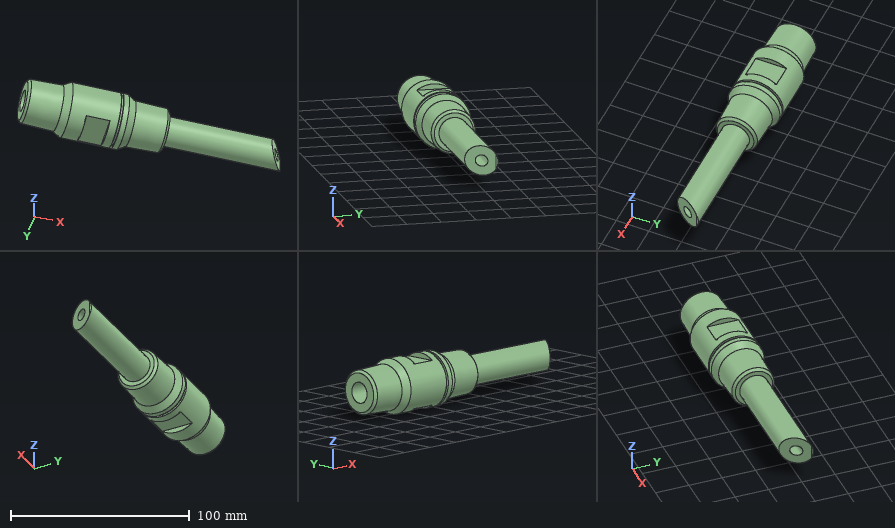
import cadquery as cq
import math

total_length = 151.5
body_length = 82.4
mid_x = body_length / 2

collar_diameter = 31.8
collar_length = 32.7
shoulder_length = 4.5
neck_root_radius = 13.3
neck_tip_radius = 12.7
end_chamfer = 1.5

groove_start = 53.0
groove_width = 1.4
groove_diameter = 29.0

flat_start = 34.4
flat_length = 13.6
across_flats = 25.6

socket_diameter = 12.0
socket_depth = mid_x
hose_diameter = 17.1
hose_bore_diameter = 6.4
hose_cut_angle = 30.0
hose_cut_center_x = 147.2


def make_body():
    """Collar with conical shoulders and tapered necks, revolved about X."""
    collar_half = collar_length / 2
    shoulder_half = collar_half + shoulder_length
    left_half = [
        (0, neck_tip_radius - end_chamfer),
        (end_chamfer, neck_tip_radius),
        (mid_x - shoulder_half, neck_root_radius),
        (mid_x - collar_half, collar_diameter / 2),
    ]
    right_half = [(body_length - x, radius) for x, radius in reversed(left_half)]
    outline = [(0, 0)] + left_half + right_half + [(body_length, 0)]
    return cq.Workplane("XY").polyline(outline).close().revolve(360, (0, 0, 0), (1, 0, 0))


def cylinder_along_x(diameter, start, end):
    return cq.Workplane("YZ", origin=(start, 0, 0)).circle(diameter / 2).extrude(end - start)


def make_groove():
    groove_end = groove_start + groove_width
    ring = cylinder_along_x(collar_diameter, groove_start, groove_end)
    return ring.cut(cylinder_along_x(groove_diameter, groove_start, groove_end))


def make_flat_cutter(side):
    """Block that removes material beyond one flat; side is +1 (top) or -1 (bottom)."""
    height = collar_diameter / 2
    center = (flat_start + flat_length / 2, 0, side * (across_flats + height) / 2)
    return cq.Workplane("XY").box(flat_length, collar_diameter, height).translate(center)


def make_hose():
    """Hose with an oblique free end, its sharp tip blunted square at the full length."""
    half_width = hose_diameter / 2
    cut_offset = half_width * math.tan(math.radians(hose_cut_angle))
    keep = (
        cq.Workplane("XY")
        .polyline([
            (mid_x, -half_width),
            (hose_cut_center_x - cut_offset, -half_width),
            (hose_cut_center_x + cut_offset, half_width),
            (mid_x, half_width),
        ])
        .close()
        .extrude(half_width, both=True)
    )
    return cylinder_along_x(hose_diameter, mid_x, total_length).intersect(keep)


result = make_body().cut(make_groove())
for side in (1, -1):
    result = result.cut(make_flat_cutter(side))
result = result.union(make_hose())
result = result.cut(cylinder_along_x(socket_diameter, 0, socket_depth))
result = result.cut(cylinder_along_x(hose_bore_diameter, body_length, total_length))